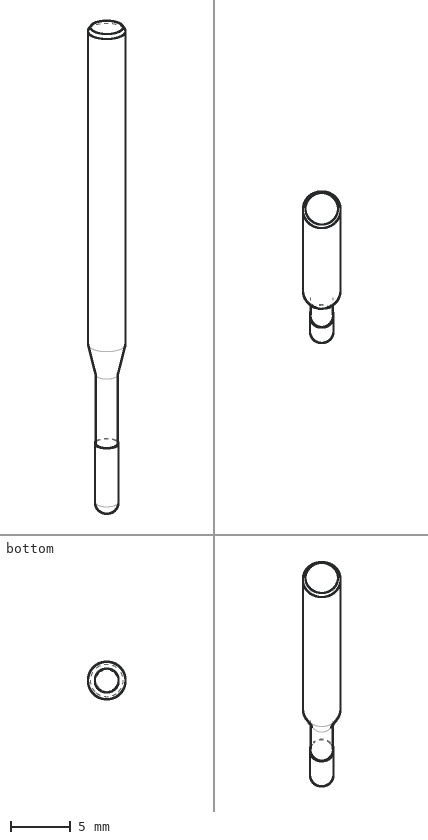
import cadquery as cq
import math

total_length = 44.5
shank_radius = 3.15 / 2
neck_radius = 1.85 / 2
ball_radius = 2.0 / 2

head_top = 6.35
taper_bottom = 12.7
taper_top = 15.5

bevel_height = 0.35
bevel_width = 0.22

section_plane = cq.Plane(origin=(0, 0, 0), xDir=(0, -1, 0), normal=(-1, 0, 0))


def revolve_about_axis(half_section):
    """Turn a closed half section a full circle about the tool axis."""
    return half_section.revolve(360, (0, 0), (0, 1))


def make_shank():
    """Bevelled cylindrical shank that tapers down to a slim neck."""
    half_section = (
        cq.Workplane(section_plane)
        .moveTo(0, head_top)
        .lineTo(neck_radius, head_top)
        .lineTo(neck_radius, taper_bottom)
        .lineTo(shank_radius, taper_top)
        .lineTo(shank_radius, total_length - bevel_height)
        .lineTo(shank_radius - bevel_width, total_length)
        .lineTo(0, total_length)
        .close()
    )
    return revolve_about_axis(half_section)


def make_cutting_head():
    """Cylindrical cutting head with a hemispherical tip, flush against the neck."""
    arc_offset = ball_radius * math.sqrt(0.5)
    half_section = (
        cq.Workplane(section_plane)
        .moveTo(0, 0)
        .threePointArc((arc_offset, ball_radius - arc_offset), (ball_radius, ball_radius))
        .lineTo(ball_radius, head_top)
        .lineTo(0, head_top)
        .close()
    )
    return revolve_about_axis(half_section)


shank = make_shank()
cutting_head = make_cutting_head()

result = cq.Compound.makeCompound([shank.val(), cutting_head.val()])